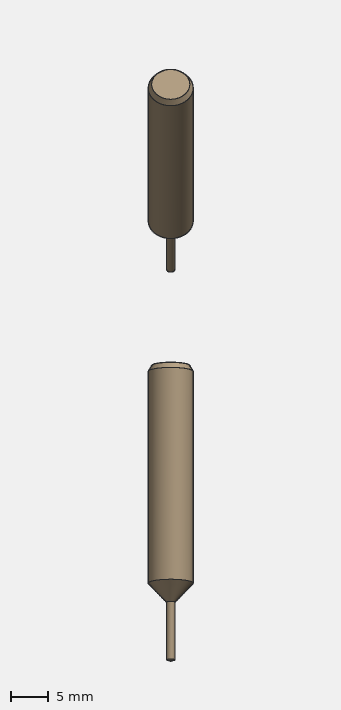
import cadquery as cq
import math

total_length = 40.0

shank_diameter = 6.0
shank_radius = shank_diameter / 2
end_chamfer_height = 0.8
end_chamfer_angle = 30.0
end_chamfer_width = end_chamfer_height * math.tan(math.radians(end_chamfer_angle))
neck_cone_top = 10.55

drill_diameter = 1.15
drill_radius = drill_diameter / 2
drill_length = 8.0
point_angle = 140.0
point_height = drill_radius / math.tan(math.radians(point_angle / 2))


def make_shank():
    """Round shank with a chamfered upper end and a cone down to the drill."""
    return (
        cq.Workplane("XZ")
        .moveTo(0, drill_length)
        .lineTo(drill_radius, drill_length)
        .lineTo(shank_radius, neck_cone_top)
        .lineTo(shank_radius, total_length - end_chamfer_height)
        .lineTo(shank_radius - end_chamfer_width, total_length)
        .lineTo(0, total_length)
        .close()
        .revolve(360, (0, 0), (0, 1))
    )


def make_drill():
    """Thin cylinder with a conical point, butted against the shank cone."""
    return (
        cq.Workplane("XZ")
        .moveTo(0, 0)
        .lineTo(drill_radius, point_height)
        .lineTo(drill_radius, drill_length)
        .lineTo(0, drill_length)
        .close()
        .revolve(360, (0, 0), (0, 1))
    )


shank = make_shank()
drill = make_drill()

result = cq.Compound.makeCompound([shank.val(), drill.val()])